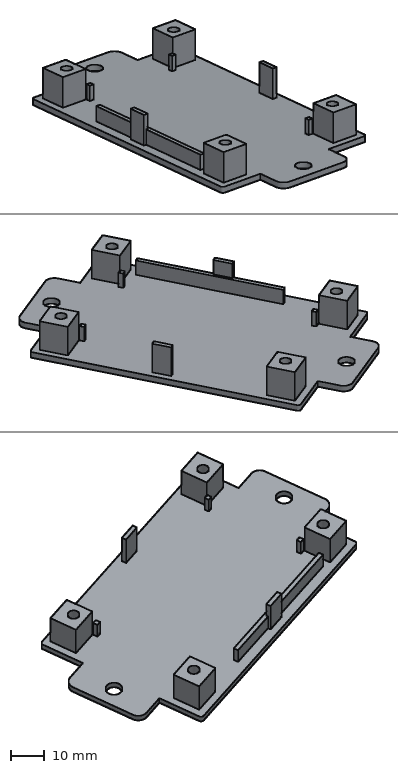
import cadquery as cq

overall_length = 106.0
body_length = 86.0
body_width = 57.0
ear_width = 27.0
plate_thickness = 2.0
body_corner_radius = 1.0
ear_corner_radius = 3.0
ear_hole_diameter = 5.0
ear_hole_spacing = 93.9

layout_y = 0.2
tall_height = 10.0
low_height = 5.0
wall = 1.5

post_side = 9.0
post_spacing_x = 72.3
post_spacing_y = 43.5
screw_hole_diameter = 3.5
screw_spacing_x = 71.4
screw_spacing_y = 42.4

peg_spacing_x = 61.5
peg_spacing_y = 32.5

tab_length = 6.0
tab_x = 1.8
tab_spacing_y = 51.0
rail_length = 47.0
rail_x = 5.7
rail_y = -24.4


def corner_points(spacing_x, spacing_y):
    """Four corner positions of a rectangle centred on the layout."""
    return [
        (x * spacing_x / 2, layout_y + y * spacing_y / 2)
        for x in (-1, 1)
        for y in (-1, 1)
    ]


def slab(length, width, corner_radius):
    """Plate of the common thickness, with rounded vertical edges."""
    plate = cq.Workplane("XY").rect(length, width).extrude(plate_thickness)
    return plate.edges("|Z").fillet(corner_radius)


def uprights(points, length, width, height):
    """Rectangular blocks rooted in the underside plane of the plate."""
    sketch = cq.Workplane("XY").pushPoints(points).rect(length, width)
    return sketch.extrude(plate_thickness + height)


def through_holes(points, diameter):
    """Cylinders that reach from the plate underside to the post tops."""
    sketch = cq.Workplane("XY").pushPoints(points).circle(diameter / 2)
    return sketch.extrude(plate_thickness + tall_height)


body = slab(body_length, body_width, body_corner_radius)
ears = slab(overall_length, ear_width, ear_corner_radius)

posts = uprights(corner_points(post_spacing_x, post_spacing_y), post_side, post_side, tall_height)
pegs = uprights(corner_points(peg_spacing_x, peg_spacing_y), wall, wall, low_height)

tab_points = [(tab_x, layout_y + side * tab_spacing_y / 2) for side in (-1, 1)]
tabs = uprights(tab_points, tab_length, wall, tall_height)
rail = uprights([(rail_x, rail_y)], rail_length, wall, low_height)

ear_hole_points = [(side * ear_hole_spacing / 2, 0) for side in (-1, 1)]
ear_holes = through_holes(ear_hole_points, ear_hole_diameter)
screw_holes = through_holes(corner_points(screw_spacing_x, screw_spacing_y), screw_hole_diameter)

result = body.union(ears).union(posts).union(pegs).union(tabs).union(rail)
result = result.cut(ear_holes).cut(screw_holes)